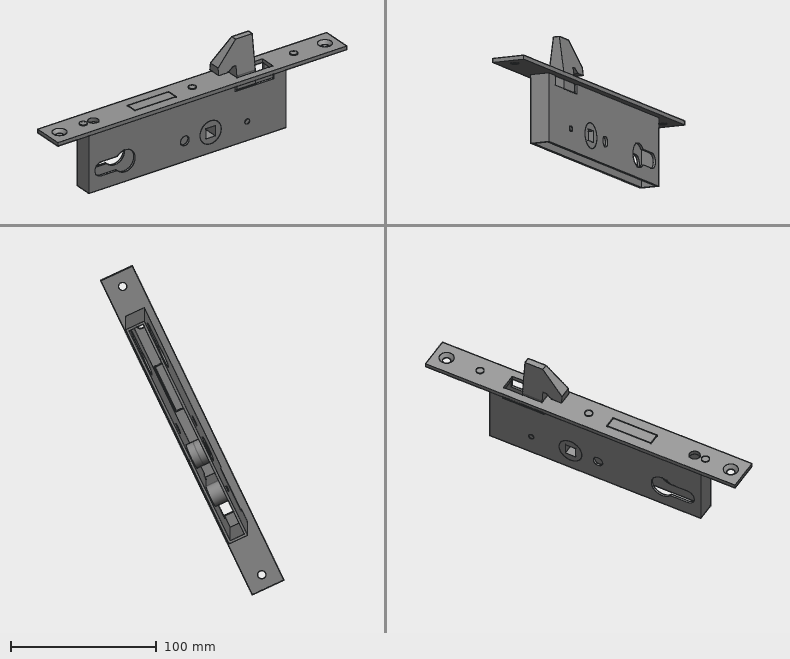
import cadquery as cq


PLATE_LENGTH = 243.0
PLATE_WIDTH = 24.0
PLATE_THICKNESS = 3.0
SCREW_Y = 111.5
SCREW_HOLE_DIAMETER = 5.5
SCREW_HEAD_DIAMETER = 10.5
COUNTERSINK_ANGLE = 90.0
RIVET_DIAMETER = 5.5
RIVET_HEIGHT = 0.7
RIVET_YS = (85.3, 0.0, -91.5)
ACCESS_HOLE_DIAMETER = 7.8
ACCESS_HOLE_Y = -83.0
HOOK_SLOT_WIDTH = 12.5
HOOK_SLOT_BACK_Y = 63.5

CASE_WIDTH = 14.0
CASE_WALL = 1.7
CASE_TOP = -PLATE_THICKNESS
CASE_BOTTOM = -51.0
CASE_BACK_Y = 73.9
CASE_FRONT_Y = -91.9
CAVITY_WIDTH = CASE_WIDTH - 2 * CASE_WALL
WINDOW_BACK_Y = 64.0
WINDOW_FRONT_Y = 31.0
WINDOW_BOTTOM = -9.7
FITTING_Z = -35.0
FIXING_HOLE_DIAMETER = 7.3
FIXING_HOLE_Y = -11.2
CYLINDER_DIAMETER = 17.0
CYLINDER_Y = -61.5
CYLINDER_SLOT_HEIGHT = 11.0
CYLINDER_SLOT_END_Y = -86.8

FOLLOWER_DIAMETER = 17.7
FOLLOWER_BORE = 18.0
FOLLOWER_Y = 10.5
FOLLOWER_SQUARE = 8.0

HOOK_BACK_Y = 48.8
SHANK_FRONT_Y = 33.3
SHANK_WIDTH = 12.0
LUG_WIDTH = CAVITY_WIDTH
HOOK_TOP = 28.0
HOOK_TOP_FRONT_Y = 34.7
HOOK_TOP_WIDTH = 4.5
TAPER_START_Z = 1.2
NOSE_Y = 18.5
NOSE_TOP = 11.5
NOSE_BOTTOM = 5.8
NOSE_HEEL_Y = 26.2
THROAT_Y = 30.1
THROAT_Z = 8.5
THROAT_CREST_Z = 9.0
PIVOT_DIAMETER = 4.0
PIVOT_LENGTH = 15.0
PIVOT_Y = (HOOK_BACK_Y + SHANK_FRONT_Y) / 2
PIVOT_Z = -36.0

LATCH_Y = -34.0
LATCH_OPENING_LENGTH = 35.0
LATCH_OPENING_WIDTH = 9.2
LATCH_GAP = 0.5


def block(x_size, y_min, y_max, z_min, z_max):
    """Box centred on X = 0 between the given Y and Z limits."""
    return (
        cq.Workplane("XY", origin=(0, (y_min + y_max) / 2, z_min))
        .box(x_size, y_max - y_min, z_max - z_min, centered=(True, True, False))
    )


def cross_rod(diameter, y, z, length):
    """Cylinder along X, centred on X = 0."""
    return cq.Workplane("YZ", origin=(0, y, z)).circle(diameter / 2).extrude(length / 2, both=True)


def make_plate():
    """Face plate with its screw holes, openings and three raised rivet heads."""
    plate = block(PLATE_WIDTH, -PLATE_LENGTH / 2, PLATE_LENGTH / 2, -PLATE_THICKNESS, 0)
    top = plate.faces(">Z").workplane(origin=(0, 0, 0))
    plate = top.pushPoints([(0, SCREW_Y), (0, -SCREW_Y)]).cskHole(
        SCREW_HOLE_DIAMETER, SCREW_HEAD_DIAMETER, COUNTERSINK_ANGLE
    )
    top = plate.faces(">Z").workplane(origin=(0, 0, 0))
    plate = top.center(0, ACCESS_HOLE_Y).hole(ACCESS_HOLE_DIAMETER)
    plate = plate.cut(block(HOOK_SLOT_WIDTH, SHANK_FRONT_Y, HOOK_SLOT_BACK_Y, -PLATE_THICKNESS, 0))
    latch_opening = block(
        LATCH_OPENING_WIDTH,
        LATCH_Y - LATCH_OPENING_LENGTH / 2,
        LATCH_Y + LATCH_OPENING_LENGTH / 2,
        -PLATE_THICKNESS,
        0,
    )
    plate = plate.cut(latch_opening)
    rivets = (
        cq.Workplane("XY", origin=(0, 0, -PLATE_THICKNESS / 2))
        .pushPoints([(0, y) for y in RIVET_YS])
        .circle(RIVET_DIAMETER / 2)
        .extrude(PLATE_THICKNESS / 2 + RIVET_HEIGHT)
    )
    return plate.union(rivets)


def cylinder_cutout():
    """Keyhole-shaped passage for a profile cylinder."""
    slot_radius = CYLINDER_SLOT_HEIGHT / 2
    slot_centre_y = CYLINDER_SLOT_END_Y + slot_radius
    neck = block(CASE_WIDTH, slot_centre_y, CYLINDER_Y, FITTING_Z - slot_radius, FITTING_Z + slot_radius)
    return (
        cross_rod(CYLINDER_DIAMETER, CYLINDER_Y, FITTING_Z, CASE_WIDTH)
        .union(neck)
        .union(cross_rod(CYLINDER_SLOT_HEIGHT, slot_centre_y, FITTING_Z, CASE_WIDTH))
    )


def make_case():
    """Four-walled case, open at the top and bottom."""
    case = block(CASE_WIDTH, CASE_FRONT_Y, CASE_BACK_Y, CASE_BOTTOM, CASE_TOP)
    cavity = block(
        CAVITY_WIDTH, CASE_FRONT_Y + CASE_WALL, CASE_BACK_Y - CASE_WALL, CASE_BOTTOM, CASE_TOP
    )
    return (
        case.cut(cavity)
        .cut(block(CASE_WIDTH, WINDOW_FRONT_Y, WINDOW_BACK_Y, WINDOW_BOTTOM, CASE_TOP))
        .cut(cross_rod(PIVOT_DIAMETER, PIVOT_Y, PIVOT_Z, CASE_WIDTH))
        .cut(cross_rod(FOLLOWER_BORE, FOLLOWER_Y, FITTING_Z, CASE_WIDTH))
        .cut(cross_rod(FIXING_HOLE_DIAMETER, FIXING_HOLE_Y, FITTING_Z, CASE_WIDTH))
        .cut(cylinder_cutout())
    )


def make_hook():
    """Hook tapered towards its top, with a rounded lug between the case walls and a pivot through it."""
    lug_radius = (HOOK_BACK_Y - SHANK_FRONT_Y) / 2
    side = (
        cq.Workplane("YZ")
        .moveTo(HOOK_BACK_Y, PIVOT_Z)
        .lineTo(HOOK_BACK_Y, HOOK_TOP)
        .lineTo(HOOK_TOP_FRONT_Y, HOOK_TOP)
        .lineTo(NOSE_Y, NOSE_TOP)
        .lineTo(NOSE_Y, NOSE_BOTTOM)
        .lineTo(NOSE_HEEL_Y, NOSE_BOTTOM)
        .lineTo(THROAT_Y, THROAT_Z)
        .threePointArc(((THROAT_Y + SHANK_FRONT_Y) / 2, THROAT_CREST_Z), (SHANK_FRONT_Y, THROAT_Z))
        .lineTo(SHANK_FRONT_Y, PIVOT_Z)
        .threePointArc((PIVOT_Y, PIVOT_Z - lug_radius), (HOOK_BACK_Y, PIVOT_Z))
        .close()
        .extrude(SHANK_WIDTH / 2, both=True)
    )
    half_lug = LUG_WIDTH / 2
    half_shank = SHANK_WIDTH / 2
    half_top = HOOK_TOP_WIDTH / 2
    lug_bottom = PIVOT_Z - lug_radius
    width_profile = (
        cq.Workplane("XZ", origin=(0, HOOK_BACK_Y, 0))
        .moveTo(0, lug_bottom)
        .lineTo(half_lug, lug_bottom)
        .lineTo(half_lug, WINDOW_BOTTOM)
        .lineTo(half_shank, WINDOW_BOTTOM)
        .lineTo(half_shank, TAPER_START_Z)
        .lineTo(half_top, HOOK_TOP)
        .lineTo(0, HOOK_TOP)
        .mirrorY()
        .extrude(HOOK_BACK_Y - NOSE_Y)
    )
    pivot = cross_rod(PIVOT_DIAMETER, PIVOT_Y, PIVOT_Z, PIVOT_LENGTH)
    return side.intersect(width_profile).union(pivot)


def make_follower():
    """Round follower with a square spindle hole, flush with both case sides."""
    half_square = FOLLOWER_SQUARE / 2
    square_hole = block(
        CASE_WIDTH,
        FOLLOWER_Y - half_square,
        FOLLOWER_Y + half_square,
        FITTING_Z - half_square,
        FITTING_Z + half_square,
    )
    return cross_rod(FOLLOWER_DIAMETER, FOLLOWER_Y, FITTING_Z, CASE_WIDTH).cut(square_hole)


def make_latch():
    """Latch bolt with an even gap to its opening in the plate."""
    half_length = LATCH_OPENING_LENGTH / 2 - LATCH_GAP
    width = LATCH_OPENING_WIDTH - 2 * LATCH_GAP
    return block(width, LATCH_Y - half_length, LATCH_Y + half_length, -PLATE_THICKNESS, 0)


plate = make_plate()
case = make_case()
hook = make_hook()
follower = make_follower()
latch = make_latch()

result = cq.Compound.makeCompound([plate.val(), case.val(), hook.val(), follower.val(), latch.val()])